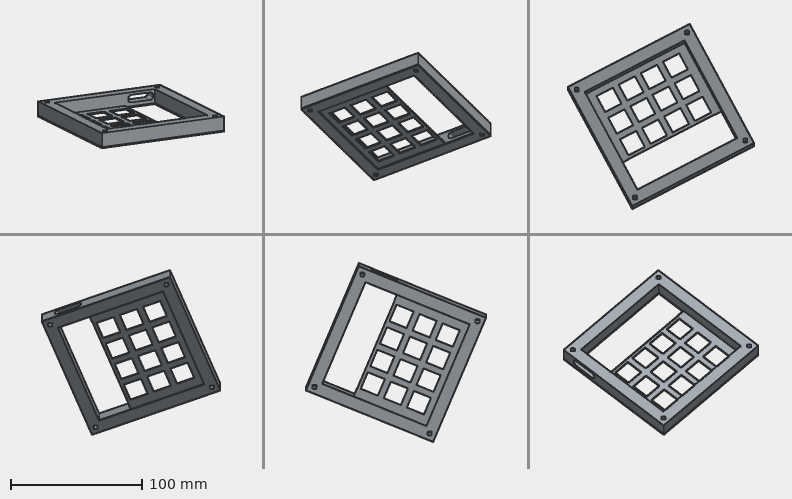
import cadquery as cq

side = 104.95
total_height = 12.0
ring_thickness = 1.0
frame_height = total_height - ring_thickness

wall = 9.5
opening = side - 2 * wall
screw_diameter = 3.4
screw_spacing = 95.0

slot_length = 21.6
slot_height = 5.9
slot_center_y = 31.0
slot_center_z = 6.85

plate_thickness = 1.0
plate_front_y = -opening / 2
plate_back_y = 17.2
plate_depth = plate_back_y - plate_front_y

notch_width = 75.0
notch_depth = 0.25

key_size = 14.0
key_pitch = 19.05
key_columns = 4
key_rows = 3
key_grid_x = -0.05
key_grid_y = -11.75


def make_border(bottom_z, height):
    """Square border with a screw hole through each corner."""
    base = cq.Workplane("XY").workplane(offset=bottom_z)
    border = base.rect(side, side).rect(opening, opening).extrude(height)
    screws = (
        base.rect(screw_spacing, screw_spacing, forConstruction=True)
        .vertices().circle(screw_diameter / 2).extrude(height)
    )
    return border.cut(screws)


def make_key_plate():
    """Thin plate level with the frame's bottom face, pierced by the key grid."""
    base = cq.Workplane("XY").workplane(offset=ring_thickness)
    plate = (
        base.center(0, plate_front_y + plate_depth / 2)
        .rect(opening, plate_depth).extrude(plate_thickness)
    )
    keys = (
        base.center(key_grid_x, key_grid_y)
        .rarray(key_pitch, key_pitch, key_columns, key_rows)
        .rect(key_size, key_size).extrude(plate_thickness)
    )
    notch = (
        base.center(key_grid_x, plate_back_y)
        .rect(notch_width, 2 * notch_depth).extrude(plate_thickness)
    )
    return plate.cut(keys).cut(notch)


def make_cable_slot():
    """Round-ended cutter as long as the -X wall is thick."""
    return (
        cq.Workplane("YZ", origin=(-side / 2, slot_center_y, slot_center_z))
        .slot2D(slot_length, slot_height).extrude(wall)
    )


def make_base_ring():
    return make_border(0, ring_thickness)


def make_frame():
    border = make_border(ring_thickness, frame_height)
    return border.cut(make_cable_slot()).union(make_key_plate())


base_ring = make_base_ring()
frame = make_frame()
result = cq.Compound.makeCompound([base_ring.val(), frame.val()])